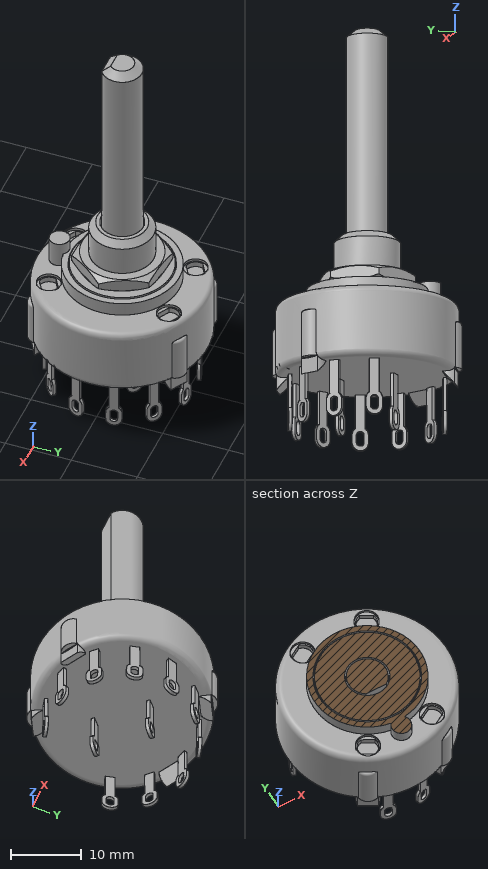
import cadquery as cq
import math


BODY_DIA = 26.0
BODY_HEIGHT = 10.4
BODY_EDGE_RADIUS = 1.0

COLLAR_DIA = 17.25
COLLAR_TOP = BODY_HEIGHT + 2.15
RECESS_DIA = 15.3
RECESS_DEPTH = 0.8
WASHER_DIA = 15.0
WASHER_TOP = COLLAR_TOP + 0.15

BUSHING_DIA = 9.5
BUSHING_TOP = BODY_HEIGHT + 10.0
BUSHING_CHAMFER = 1.0
BUSHING_BORE_DIA = 6.35
NUT_CORNER_DIA = 14.3
NUT_CHAMFER_DIA = 12.1
NUT_HEIGHT = 2.15
NUT_TURN = -7.0
NUT_CHAMFER_ANGLE = 30.0

SHAFT_DIA = 6.0
SHAFT_TOP = BUSHING_TOP + 30.0
SHAFT_FLAT = 2.5
SHAFT_TIP_DIA = 3.55
SHAFT_TIP_HEIGHT = 1.05

PIN_DIA = 3.0
PIN_OFFSET = 9.5
PIN_HEIGHT = 4.0

CLIP_ANGLES = (60.0, 120.0, 240.0, 300.0)
POCKET_RADIUS = 10.5
POCKET_DIA = 3.55
POCKET_STEP = 0.4
SLOT_DIA = 3.1
SLOT_WIDTH = 2.4
SLOT_DEPTH = 1.25

RIB_RADIUS = 11.8
RIB_DIA = 3.55
RIB_TOP = 7.35
RIB_EDGE_RADIUS = 0.4
FOOT_FACE_RADIUS = 12.8
FOOT_TOP = 0.55
FOOT_DROP = 1.76

TERMINAL_POSITIONS = 12
EMPTY_POSITIONS = (6, 7)
COMMON_RADIUS = 4.2
COMMON_ANGLES = (45.0, 225.0)
TERMINAL_RADIUS = 11.0
TERMINAL_START = 15.0
TERMINAL_DROP = 8.1
TERMINAL_THICKNESS = 0.5
STEM_WIDTH = 1.4
EYE_WIDTH = 2.35
EYE_LENGTH = 3.5
EYE_HOLE_WIDTH = 1.1
EYE_HOLE_LENGTH = 2.1

OVERLAP = 0.5


def disc(diameter, bottom, top):
    """Cylinder on the Z axis between two heights."""
    return cq.Workplane("XY").workplane(offset=bottom).circle(diameter / 2).extrude(top - bottom)


def place(shape, radius, angle):
    """Move a shape out along +X by radius, then turn it about Z."""
    return shape.translate((radius, 0, 0)).rotate((0, 0, 0), (0, 0, 1), angle)


def make_body():
    return disc(BODY_DIA, 0, BODY_HEIGHT).edges().fillet(BODY_EDGE_RADIUS)


def make_collar():
    collar = disc(COLLAR_DIA, BODY_HEIGHT - OVERLAP, COLLAR_TOP)
    recess_floor = COLLAR_TOP - RECESS_DEPTH
    collar = collar.cut(disc(RECESS_DIA, recess_floor, COLLAR_TOP))
    return collar.union(disc(WASHER_DIA, recess_floor, WASHER_TOP))


def make_nut():
    """Hexagon nut whose corners are trimmed by a cone at both ends."""
    corner_radius = NUT_CORNER_DIA / 2
    face_radius = NUT_CHAMFER_DIA / 2
    bevel = (corner_radius - face_radius) * math.tan(math.radians(NUT_CHAMFER_ANGLE))
    hexagon = cq.Workplane("XY").polygon(6, NUT_CORNER_DIA).extrude(NUT_HEIGHT)
    envelope = (
        cq.Workplane("XZ")
        .moveTo(0, 0)
        .lineTo(face_radius, 0)
        .lineTo(corner_radius, bevel)
        .lineTo(corner_radius, NUT_HEIGHT - bevel)
        .lineTo(face_radius, NUT_HEIGHT)
        .lineTo(0, NUT_HEIGHT)
        .close()
        .revolve(360, (0, 0, 0), (0, 1, 0))
    )
    nut = hexagon.intersect(envelope).rotate((0, 0, 0), (0, 0, 1), NUT_TURN)
    return nut.translate((0, 0, WASHER_TOP))


def make_bushing():
    bushing = disc(BUSHING_DIA, BODY_HEIGHT, BUSHING_TOP)
    return bushing.faces(">Z").edges().chamfer(BUSHING_CHAMFER)


def make_shaft():
    """D-shaft: the flat and the round side both taper to the tip."""
    tip_inset = (SHAFT_DIA - SHAFT_TIP_DIA) / 2
    tip_base = SHAFT_TOP - SHAFT_TIP_HEIGHT
    shaft = disc(SHAFT_DIA, BODY_HEIGHT - OVERLAP, SHAFT_TOP)
    shaft = shaft.faces(">Z").edges().chamfer(SHAFT_TIP_HEIGHT, tip_inset)
    flat_cutter = (
        cq.Workplane("YZ")
        .moveTo(-SHAFT_FLAT, BODY_HEIGHT)
        .lineTo(-SHAFT_FLAT, tip_base)
        .lineTo(-SHAFT_FLAT + tip_inset, SHAFT_TOP)
        .lineTo(-SHAFT_DIA, SHAFT_TOP)
        .lineTo(-SHAFT_DIA, BODY_HEIGHT)
        .close()
        .extrude(SHAFT_DIA, both=True)
    )
    return shaft.cut(flat_cutter)


def make_locating_pin():
    pin = disc(PIN_DIA, BODY_HEIGHT - OVERLAP, BODY_HEIGHT + PIN_HEIGHT)
    return pin.translate((0, -PIN_OFFSET, 0))


def make_pocket():
    """Shallow round step with a deeper two-flat slot in its floor."""
    step = disc(POCKET_DIA, BODY_HEIGHT - POCKET_STEP, BODY_HEIGHT)
    slot = disc(SLOT_DIA, BODY_HEIGHT - SLOT_DEPTH, BODY_HEIGHT)
    flats = cq.Workplane("XY").box(SLOT_WIDTH, SLOT_DIA, 2 * BODY_HEIGHT)
    flats = flats.translate((0, 0, BODY_HEIGHT))
    return step.union(slot.intersect(flats))


def make_rib():
    """Round rib on the body wall; its foot has a flat outer face and an underside sloping at 45 degrees."""
    rib = disc(RIB_DIA, -FOOT_DROP, RIB_TOP).faces(">Z").edges().fillet(RIB_EDGE_RADIUS)
    face = FOOT_FACE_RADIUS - RIB_RADIUS
    rib_half = RIB_DIA / 2
    outer_cutter = (
        cq.Workplane("XY")
        .box(RIB_DIA, RIB_DIA, FOOT_TOP + FOOT_DROP, centered=(False, True, False))
        .translate((face, 0, -FOOT_DROP))
    )
    slope_run = face + rib_half
    slope_cutter = (
        cq.Workplane("XZ")
        .moveTo(face, -FOOT_DROP)
        .lineTo(-rib_half, -FOOT_DROP)
        .lineTo(-rib_half, slope_run - FOOT_DROP)
        .close()
        .extrude(rib_half, both=True)
    )
    return rib.cut(outer_cutter).cut(slope_cutter)


def make_terminal():
    """Flat solder lug with an oval eye, lying in the YZ plane."""
    stem_length = TERMINAL_DROP - EYE_LENGTH / 2
    eye_centre = -TERMINAL_DROP + EYE_LENGTH / 2
    half_thickness = TERMINAL_THICKNESS / 2
    stem = (
        cq.Workplane("YZ")
        .center(0, (OVERLAP - stem_length) / 2)
        .rect(STEM_WIDTH, stem_length + OVERLAP)
        .extrude(half_thickness, both=True)
    )
    eye_plane = cq.Workplane("YZ").center(0, eye_centre)
    eye = eye_plane.slot2D(EYE_LENGTH, EYE_WIDTH, 90).extrude(half_thickness, both=True)
    hole = eye_plane.slot2D(EYE_HOLE_LENGTH, EYE_HOLE_WIDTH, 90).extrude(half_thickness, both=True)
    return stem.union(eye).cut(hole)


def make_terminal_set():
    """Outer ring of terminals plus the common terminals."""
    terminal = make_terminal()
    terminals = []
    for index in range(TERMINAL_POSITIONS):
        if index in EMPTY_POSITIONS:
            continue
        angle = TERMINAL_START + index * 360.0 / TERMINAL_POSITIONS
        terminals.append(place(terminal, TERMINAL_RADIUS, angle))
    for angle in COMMON_ANGLES:
        terminals.append(place(terminal, COMMON_RADIUS, angle))
    return terminals


bushing_bore = disc(BUSHING_BORE_DIA, BODY_HEIGHT, BUSHING_TOP)

result = make_body().union(make_collar()).union(make_nut()).union(make_bushing())
result = result.cut(bushing_bore).union(make_shaft()).union(make_locating_pin())

pocket = make_pocket()
rib = make_rib()
for angle in CLIP_ANGLES:
    result = result.union(place(rib, RIB_RADIUS, angle))
    result = result.cut(place(pocket, POCKET_RADIUS, angle))

for placed_terminal in make_terminal_set():
    result = result.union(placed_terminal)